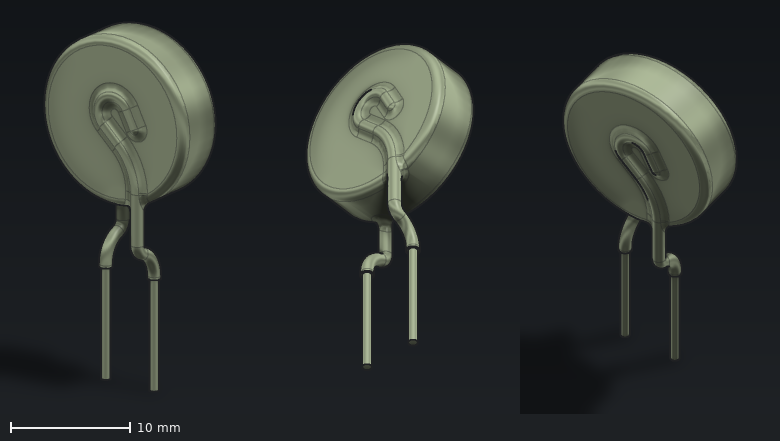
import cadquery as cq
import math

disc_radius = 7.5
disc_thickness = 5.0
rim_fillet = 0.8

outer_depth = 6.0
coat_radius = 0.6
bare_radius = 0.4
lead_x = 2.52
lead_y = outer_depth / 2 - coat_radius
blend_radius = 0.98
overall_height = 31.5
bottom_z = disc_radius - overall_height

hook_x = 0.25
hook_z = 0.82
hook_radius = 1.55
stem_angle = math.radians(47)
stem_length = 2.15
tip_angle = math.radians(27)
tip_length = 1.83

bend_start_z = -10.43
upper_bend_radius = 1.0
lower_bend_radius = 2.55
collar_end_z = -14.05


def make_disc():
    """Round body with both rims filleted."""
    body = cq.Workplane("XZ").circle(disc_radius).extrude(disc_thickness / 2, both=True)
    return body.edges("%CIRCLE").fillet(rim_fillet)


def on_circle(center, radius, angle):
    """Point at an angle on a circle in a 2D plane."""
    return (center[0] + radius * math.cos(angle), center[1] + radius * math.sin(angle))


def make_hook():
    """Coated wire at the front: straight rise, sideways sweep, stem, hook and rounded tip."""
    center = (hook_x, hook_z)
    hook_start = on_circle(center, hook_radius, math.pi + stem_angle)
    hook_top = on_circle(center, hook_radius, math.pi / 2)
    hook_end = on_circle(center, hook_radius, tip_angle)
    tip = on_circle(hook_end, tip_length, tip_angle - math.pi / 2)
    stem_start = on_circle(hook_start, stem_length, stem_angle - math.pi / 2)

    sweep_radius = (lead_x - stem_start[0]) / (1 - math.cos(stem_angle))
    sweep_z = stem_start[1] - sweep_radius * math.sin(stem_angle)
    sweep_center = (lead_x - sweep_radius, sweep_z)
    sweep_middle = on_circle(sweep_center, sweep_radius, stem_angle / 2)

    path = (
        cq.Workplane("XZ", origin=(0, -lead_y, 0))
        .moveTo(lead_x, bend_start_z)
        .lineTo(lead_x, sweep_z)
        .threePointArc(sweep_middle, stem_start)
        .lineTo(*hook_start)
        .threePointArc(hook_top, hook_end)
        .lineTo(*tip)
    )
    section = cq.Workplane("XY", origin=(lead_x, -lead_y, bend_start_z)).circle(coat_radius)
    tip_ball = cq.Workplane("XY", origin=(tip[0], -lead_y, tip[1])).sphere(coat_radius)
    return section.sweep(path).union(tip_ball)


def make_lower_lead():
    """S-bend to the mid plane, short coated collar and bare wire."""
    bend_angle = math.acos(1 - lead_y / (upper_bend_radius + lower_bend_radius))
    bend_height = (upper_bend_radius + lower_bend_radius) * math.sin(bend_angle)
    bend_end_z = bend_start_z - bend_height
    upper_center = (upper_bend_radius - lead_y, bend_start_z)
    lower_center = (-lower_bend_radius, bend_end_z)

    path = (
        cq.Workplane("YZ", origin=(lead_x, 0, 0))
        .moveTo(-lead_y, bend_start_z)
        .threePointArc(
            on_circle(upper_center, upper_bend_radius, math.pi + bend_angle / 2),
            on_circle(upper_center, upper_bend_radius, math.pi + bend_angle),
        )
        .threePointArc(
            on_circle(lower_center, lower_bend_radius, bend_angle / 2),
            (0, bend_end_z),
        )
        .lineTo(0, collar_end_z)
    )
    section = cq.Workplane("XY", origin=(lead_x, -lead_y, bend_start_z)).circle(coat_radius)
    bare_wire = (
        cq.Workplane("XY", origin=(lead_x, 0, bottom_z))
        .circle(bare_radius)
        .extrude(collar_end_z - bottom_z)
    )
    return section.sweep(path).union(bare_wire)


def half_turn(shape):
    """Copy of a shape turned half a revolution about Z."""
    return shape.rotate((0, 0, 0), (0, 0, 1), 180)


def touches_all(edge, shapes):
    """True where the middle of an edge lies on the skin of every given shape."""
    middle = cq.Vertex.makeVertex(*edge.positionAt(0.5).toTuple())
    tolerance = 0.0003
    return all(
        min(face.distance(middle) for face in shape.faces().vals()) < tolerance
        for shape in shapes
    )


def blend_hook(body, disc, hook):
    """Join a hook to the body and fillet the seam where it meets the disc."""
    joined = body.union(hook)
    seam = [edge for edge in joined.edges().vals() if touches_all(edge, (disc, hook))]
    return joined.newObject(seam).fillet(blend_radius)


disc = make_disc()
front_hook = make_hook()
front_lead = make_lower_lead()

result = disc
for hook in (front_hook, half_turn(front_hook)):
    result = blend_hook(result, disc, hook)
result = result.union(front_lead).union(half_turn(front_lead))